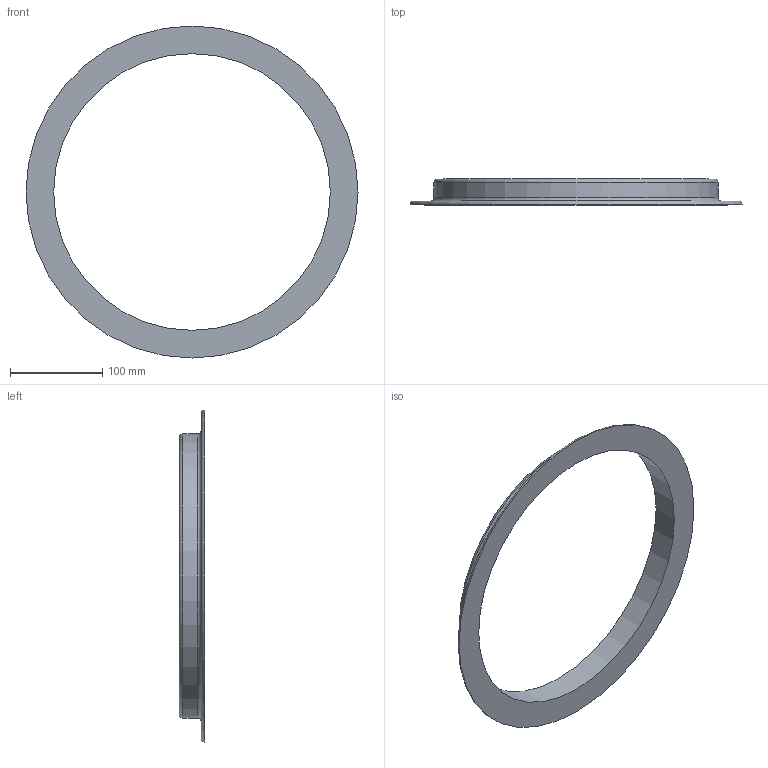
import cadquery as cq

flange_diameter = 360.0
bore_diameter = 300.0
overall_depth = 28.0
wall_thickness = 4.0
root_radius = 4.0

bore_radius = bore_diameter / 2
flange_radius = flange_diameter / 2
collar_radius = bore_radius + wall_thickness
rounding_radius = wall_thickness


def ring_section():
    """Radial section of the ring: X is the radius, Y is the depth behind the front face."""
    rim_start = overall_depth - rounding_radius
    root_end = wall_thickness + root_radius
    return (
        cq.Workplane("XY")
        .moveTo(bore_radius, 0)
        .lineTo(flange_radius, 0)
        .radiusArc((flange_radius - rounding_radius, wall_thickness), -rounding_radius)
        .lineTo(collar_radius + root_radius, wall_thickness)
        .radiusArc((collar_radius, root_end), root_radius)
        .lineTo(collar_radius, rim_start)
        .radiusArc((collar_radius - rounding_radius, overall_depth), -rounding_radius)
        .close()
    )


result = ring_section().revolve(360, (0, 0, 0), (0, 1, 0))